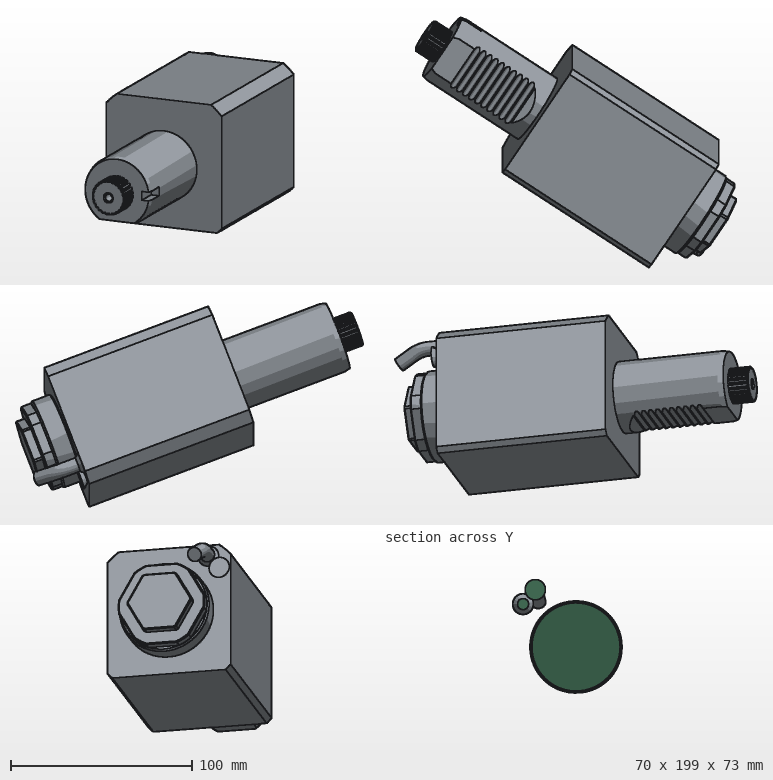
import cadquery as cq
import math


OVERALL_LENGTH = 199.0

BLOCK_WIDTH = 70.0
BLOCK_LENGTH = 97.0
BLOCK_TOP = 38.0
BLOCK_BOTTOM = -35.0
BLOCK_TURNED_DIAMETER = 95.0

SHANK_DIAMETER = 40.0
SHANK_LENGTH = 63.0
SHANK_END_DIAMETER = 38.5
SHANK_TAPER_LENGTH = 3.2
SHANK_FLAT_DEPTH = 3.8
SHANK_FLAT_Z = -SHANK_DIAMETER / 2 + SHANK_FLAT_DEPTH
FLAT_RAMP_START = 4.8
FLAT_RAMP_LENGTH = 4.5

NOTCH_COUNT = 10
NOTCH_PITCH = 4.0
NOTCH_FIRST_Y = -11.7
NOTCH_MOUTH = 3.4
NOTCH_CROWN = 1.8
NOTCH_DEPTH = 1.5
NOTCH_SIDE_DEPTH = 1.2

SLOT_WIDTH = 5.0
SLOT_LENGTH = 12.5
SLOT_FLOOR_X = 15.1

NOZZLE_X = -22.5
NOZZLE_Z = 31.6
NOZZLE_DIAMETER = 8.0
NOZZLE_BASE_LENGTH = 8.0
NOZZLE_BEND_RADIUS = 18.0
NOZZLE_BEND_ANGLE = 30
NOZZLE_SWING = 15
NOZZLE_COLLAR_DIAMETER = 11.5
NOZZLE_COLLAR_HEIGHT = 2.2

CLAMP_X = -29.2
CLAMP_Z = 23.7
CLAMP_HEAD_DIAMETER = 11.5
CLAMP_NECK_DIAMETER = 6.4
CLAMP_HEIGHT = 3.0

JOURNAL_DIAMETER = 16.0
SPLINE_DIAMETER = 19.7
SPLINE_ROOT_DIAMETER = 18.0
SPLINE_LENGTH = 11.5
SPLINE_TIP_Y = -SHANK_LENGTH - SPLINE_LENGTH
SPLINE_TEETH = 24
SPLINE_CHAMFER = 0.5
SPLINE_ROOT_SHARE = 1 / 3
SPLINE_TIP_SHARE = 1 / 2
SPLINE_CUT_CLEARANCE = 1.0
CENTRE_HOLE_DIAMETER = 4.2
CENTRE_COUNTERSINK_DIAMETER = 5.8
CENTRE_HOLE_DEPTH = 8.0
FLANGE_DIAMETER = 51.0
FLANGE_GAP = 0.5
FLANGE_NECK_DIAMETER = 49.0
FLANGE_LENGTH = 11.3
FLANGE_CHAMFER = 1.0
FLANGE_START_Y = BLOCK_LENGTH + FLANGE_GAP
FLANGE_END_Y = FLANGE_START_Y + FLANGE_LENGTH
LARGE_HEX_ACROSS_FLATS = 46.0
LARGE_HEX_ROUND_DIAMETER = 49.1
LARGE_HEX_LENGTH = 6.0
SMALL_HEX_ACROSS_FLATS = 32.0
SMALL_HEX_ROUND_DIAMETER = 36.2
SMALL_HEX_LENGTH = 5.4
HEX_CHAMFER = 0.5


def rod(diameter, y_start, length):
    """Cylinder on the spindle axis running in +Y from y_start."""
    return (
        cq.Workplane("XZ", origin=(0, y_start, 0))
        .circle(diameter / 2)
        .extrude(-length)
    )


def cone(x, z, y_start, start_diameter, end_diameter, height):
    """Cone frustum whose axis is parallel to Y, running in +Y from y_start."""
    solid = cq.Solid.makeCone(
        start_diameter / 2,
        end_diameter / 2,
        height,
        pnt=cq.Vector(x, y_start, z),
        dir=cq.Vector(0, 1, 0),
    )
    return cq.Workplane(solid)


def block():
    """Rectangular block whose four long edges are turned to a common diameter."""
    box = cq.Workplane().box(
        BLOCK_WIDTH, BLOCK_LENGTH, BLOCK_TOP - BLOCK_BOTTOM, centered=(True, False, False)
    )
    box = box.translate((0, 0, BLOCK_BOTTOM))
    return box.intersect(rod(BLOCK_TURNED_DIAMETER, 0, BLOCK_LENGTH))


def tooth_notch(y):
    """Round-crowned V notch across the shank flat, centred at y."""
    side_z = SHANK_FLAT_Z + NOTCH_SIDE_DEPTH
    return (
        cq.Workplane("YZ")
        .moveTo(y - NOTCH_MOUTH / 2, SHANK_FLAT_Z)
        .lineTo(y - NOTCH_CROWN / 2, side_z)
        .threePointArc((y, SHANK_FLAT_Z + NOTCH_DEPTH), (y + NOTCH_CROWN / 2, side_z))
        .lineTo(y + NOTCH_MOUTH / 2, SHANK_FLAT_Z)
        .close()
        .extrude(SHANK_DIAMETER / 2, both=True)
    )


def shank():
    """Round shank with a tapered end, a toothed flat underneath and a key slot."""
    straight_length = SHANK_LENGTH - SHANK_TAPER_LENGTH
    body = rod(SHANK_DIAMETER, -straight_length, straight_length)
    body = body.union(
        cone(0, 0, -SHANK_LENGTH, SHANK_END_DIAMETER, SHANK_DIAMETER, SHANK_TAPER_LENGTH)
    )

    flat = (
        cq.Workplane("YZ")
        .moveTo(-FLAT_RAMP_START, SHANK_FLAT_Z - SHANK_FLAT_DEPTH)
        .lineTo(-FLAT_RAMP_START - FLAT_RAMP_LENGTH, SHANK_FLAT_Z)
        .lineTo(-SHANK_LENGTH, SHANK_FLAT_Z)
        .lineTo(-SHANK_LENGTH, SHANK_FLAT_Z - SHANK_FLAT_DEPTH)
        .close()
        .extrude(SHANK_DIAMETER / 2, both=True)
    )
    body = body.cut(flat)
    for index in range(NOTCH_COUNT):
        body = body.cut(tooth_notch(NOTCH_FIRST_Y - index * NOTCH_PITCH))

    slot = cq.Workplane().box(
        SHANK_DIAMETER, SLOT_LENGTH, SLOT_WIDTH, centered=(False, False, True)
    )
    return body.cut(slot.translate((SLOT_FLOOR_X, -SHANK_LENGTH, 0)))


def nozzle():
    """Bent coolant pipe on a conical collar, leaning down towards the spindle axis."""
    angle = math.radians(NOZZLE_BEND_ANGLE)
    bend_end_y = NOZZLE_BASE_LENGTH + NOZZLE_BEND_RADIUS * math.sin(angle)
    bend_end_z = -NOZZLE_BEND_RADIUS * (1 - math.cos(angle))
    bend_middle_y = NOZZLE_BASE_LENGTH + NOZZLE_BEND_RADIUS * math.sin(angle / 2)
    bend_middle_z = -NOZZLE_BEND_RADIUS * (1 - math.cos(angle / 2))

    reach = OVERALL_LENGTH - SPLINE_LENGTH - SHANK_LENGTH - BLOCK_LENGTH
    tip_y = reach - NOZZLE_DIAMETER / 2 * math.sin(angle)
    tip_z = bend_end_z - (tip_y - bend_end_y) * math.tan(angle)
    path = (
        cq.Workplane("YZ")
        .lineTo(NOZZLE_BASE_LENGTH, 0)
        .threePointArc((bend_middle_y, bend_middle_z), (bend_end_y, bend_end_z))
        .lineTo(tip_y, tip_z)
    )
    pipe = cq.Workplane("XZ").circle(NOZZLE_DIAMETER / 2).sweep(path)
    pipe = pipe.rotate((0, 0, 0), (0, 1, 0), -NOZZLE_SWING)
    collar = cone(0, 0, 0, NOZZLE_COLLAR_DIAMETER, NOZZLE_DIAMETER, NOZZLE_COLLAR_HEIGHT)
    return pipe.union(collar).translate((NOZZLE_X, BLOCK_LENGTH, NOZZLE_Z))


def clamp_screw_head():
    """Conical head that widens away from the block's rear face."""
    return cone(
        CLAMP_X, CLAMP_Z, BLOCK_LENGTH, CLAMP_NECK_DIAMETER, CLAMP_HEAD_DIAMETER, CLAMP_HEIGHT
    )


def make_housing():
    """Block with shank, nozzle and clamp screw, bored through for the spindle."""
    bore = rod(JOURNAL_DIAMETER, -SHANK_LENGTH, SHANK_LENGTH + BLOCK_LENGTH)
    return block().union(shank()).union(nozzle()).union(clamp_screw_head()).cut(bore)


def spline():
    """Splined drive end with a chamfered tip, in front of the shank."""
    pitch = 2 * math.pi / SPLINE_TEETH
    tip_radius = SPLINE_DIAMETER / 2
    root_radius = SPLINE_ROOT_DIAMETER / 2
    outside_radius = tip_radius + SPLINE_CUT_CLEARANCE
    root_half_angle = pitch * SPLINE_ROOT_SHARE / 2
    tip_half_angle = pitch * SPLINE_TIP_SHARE / 2
    blank = rod(SPLINE_DIAMETER, SPLINE_TIP_Y, SPLINE_LENGTH).faces("<Y").chamfer(SPLINE_CHAMFER)

    def polar(radius, angle):
        return (radius * math.sin(angle), radius * math.cos(angle))

    gap = (
        cq.Workplane("XZ", origin=(0, SPLINE_TIP_Y, 0))
        .moveTo(*polar(root_radius, -root_half_angle))
        .threePointArc(polar(root_radius, 0), polar(root_radius, root_half_angle))
        .lineTo(*polar(tip_radius, tip_half_angle))
        .lineTo(*polar(outside_radius, tip_half_angle))
        .lineTo(*polar(outside_radius, -tip_half_angle))
        .lineTo(*polar(tip_radius, -tip_half_angle))
        .close()
        .extrude(-SPLINE_LENGTH)
    )
    for index in range(SPLINE_TEETH):
        blank = blank.cut(gap.rotate((0, 0, 0), (0, 1, 0), index * 360 / SPLINE_TEETH))
    return blank


def centre_hole():
    """Countersunk centre hole in the drive end."""
    countersink_depth = (CENTRE_COUNTERSINK_DIAMETER - CENTRE_HOLE_DIAMETER) / 2
    countersink = cone(
        0, 0, SPLINE_TIP_Y, CENTRE_COUNTERSINK_DIAMETER, CENTRE_HOLE_DIAMETER, countersink_depth
    )
    return rod(CENTRE_HOLE_DIAMETER, SPLINE_TIP_Y, CENTRE_HOLE_DEPTH).union(countersink)


def round_cornered_hex(across_flats, round_diameter, y_start, length):
    """Hexagon with flats facing +Z and -Z, its corners turned to round_diameter."""
    corner_diameter = across_flats / math.cos(math.pi / 6)
    hexagon = (
        cq.Workplane("XZ", origin=(0, y_start, 0))
        .polygon(6, corner_diameter)
        .extrude(-length)
    )
    turned = hexagon.intersect(rod(round_diameter, y_start, length))
    return turned.faces(">Y").chamfer(HEX_CHAMFER)


def make_spindle():
    """Spindle running through the housing, from the spline to the hexagonal nuts."""
    journal = rod(JOURNAL_DIAMETER, -SHANK_LENGTH, SHANK_LENGTH + BLOCK_LENGTH)
    neck = rod(FLANGE_NECK_DIAMETER, BLOCK_LENGTH, FLANGE_GAP)
    flange = rod(FLANGE_DIAMETER, FLANGE_START_Y, FLANGE_LENGTH)
    flange = flange.faces(">Y").chamfer(FLANGE_CHAMFER)
    large_hex = round_cornered_hex(
        LARGE_HEX_ACROSS_FLATS, LARGE_HEX_ROUND_DIAMETER, FLANGE_END_Y, LARGE_HEX_LENGTH
    )
    small_hex = round_cornered_hex(
        SMALL_HEX_ACROSS_FLATS,
        SMALL_HEX_ROUND_DIAMETER,
        FLANGE_END_Y + LARGE_HEX_LENGTH,
        SMALL_HEX_LENGTH,
    )
    shaft = spline().union(journal).union(neck).union(flange)
    return shaft.union(large_hex).union(small_hex).cut(centre_hole())


housing = make_housing()
spindle = make_spindle()

result = cq.Compound.makeCompound([housing.val(), spindle.val()])